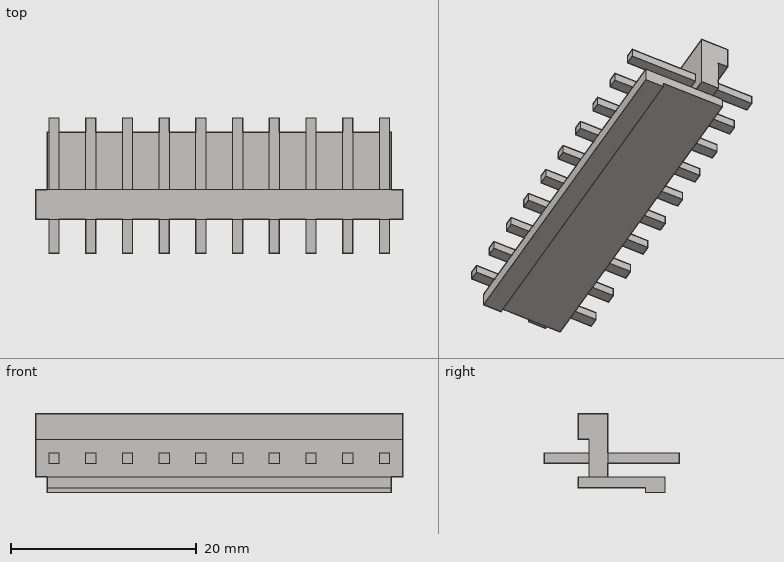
import cadquery as cq

bar_length = 39.55
pin_length = 14.6
total_height = 8.5

pin_count = 10
pin_pitch = 3.95
pin_width = 1.1
pin_center_z = 3.7

pin_front_reach = 3.68
lip_depth = 3.2
lip_height = 2.75
web_thickness = 2.05

plate_length = 37.1
plate_thickness = 1.2
foot_height = 0.5
foot_depth = 2.15
plate_rear_inset = 1.55

pin_front_y = -pin_length / 2
pin_rear_y = pin_length / 2
lip_front_y = pin_front_y + pin_front_reach
bar_rear_y = lip_front_y + lip_depth
web_front_y = bar_rear_y - web_thickness
plate_rear_y = pin_rear_y - plate_rear_inset
plate_top_z = foot_height + plate_thickness
lip_bottom_z = total_height - lip_height


def extrude_profile(points, length):
    """Extrude a (Y, Z) outline along X, centred on X = 0."""
    return cq.Workplane("YZ").polyline(points).close().extrude(length / 2, both=True)


def make_bar():
    return extrude_profile(
        [
            (web_front_y, plate_top_z),
            (bar_rear_y, plate_top_z),
            (bar_rear_y, total_height),
            (lip_front_y, total_height),
            (lip_front_y, lip_bottom_z),
            (web_front_y, lip_bottom_z),
        ],
        bar_length,
    )


def make_base_plate():
    foot_front_y = plate_rear_y - foot_depth
    return extrude_profile(
        [
            (lip_front_y, foot_height),
            (foot_front_y, foot_height),
            (foot_front_y, 0),
            (plate_rear_y, 0),
            (plate_rear_y, plate_top_z),
            (lip_front_y, plate_top_z),
        ],
        plate_length,
    )


def make_pins():
    return (
        cq.Workplane("XY")
        .workplane(offset=pin_center_z)
        .rarray(pin_pitch, 0.4, pin_count, 1)
        .box(pin_width, pin_length, pin_width)
    )


result = make_bar().union(make_base_plate()).union(make_pins())